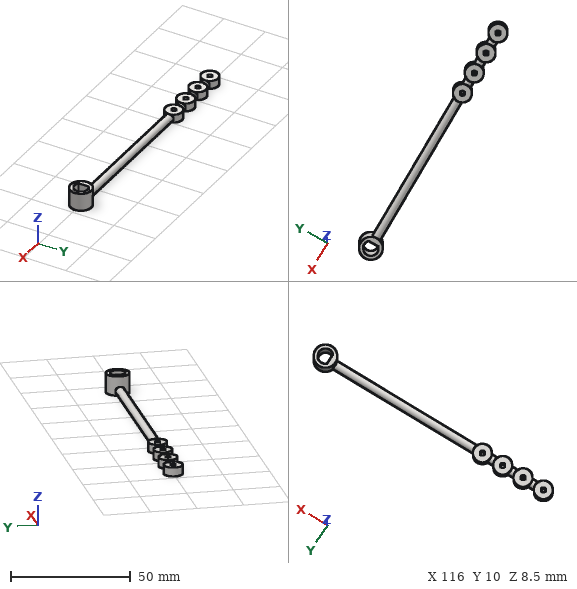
import cadquery as cq
import math

overall_length = 116.0
rod_diameter = 4.0

disc_diameter = 8.0
disc_hole_diameter = 2.1
disc_pitch = 10.0
disc_count = 4
disc_height = rod_diameter

hub_diameter = 10.0
hub_height = 8.5
bore_diameter = 6.5
bore_flat_offset = 2.2

first_disc_x = disc_diameter / 2
hub_x = overall_length - hub_diameter / 2
disc_centers = [(first_disc_x + i * disc_pitch, 0) for i in range(disc_count)]


def make_rod():
    """Round rod joining the first disc to the hub, tangent to Z = 0."""
    return (
        cq.Workplane("YZ", origin=(first_disc_x, 0, rod_diameter / 2))
        .circle(rod_diameter / 2)
        .extrude(hub_x - first_disc_x)
    )


def make_discs():
    return cq.Workplane("XY").pushPoints(disc_centers).circle(disc_diameter / 2).extrude(disc_height)


def make_disc_holes():
    return cq.Workplane("XY").pushPoints(disc_centers).circle(disc_hole_diameter / 2).extrude(disc_height)


def make_hub():
    return cq.Workplane("XY").center(hub_x, 0).circle(hub_diameter / 2).extrude(hub_height)


def make_bore():
    """D-shaped through bore with its flat on the rod side."""
    bore_radius = bore_diameter / 2
    half_flat = math.sqrt(bore_radius**2 - bore_flat_offset**2)
    return (
        cq.Workplane("XY", origin=(hub_x, 0, 0))
        .moveTo(-bore_flat_offset, -half_flat)
        .threePointArc((bore_radius, 0), (-bore_flat_offset, half_flat))
        .close()
        .extrude(hub_height)
    )


body = make_rod().union(make_discs()).union(make_hub())
result = body.cut(make_disc_holes()).cut(make_bore())